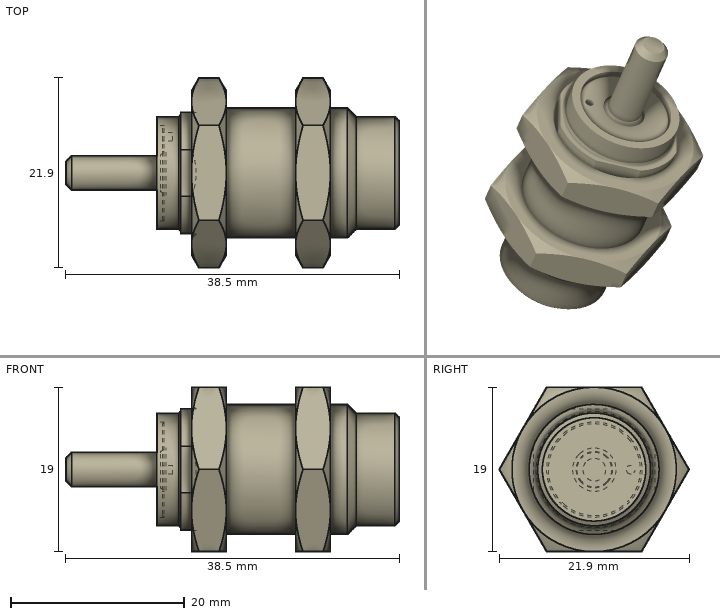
import cadquery as cq
import math

total_length = 38.5

rod_diameter = 4.0
rod_tip_chamfer = 0.7

collar_start = 10.5
collar_end = 13.05
collar_diameter = 13.0
plug_diameter = 11.0
plug_depth = 0.6
plug_chamfer = 0.2
vent_diameter = 1.0
vent_offset = 4.2
vent_depth = 1.15

guide_base_diameter = 5.0
guide_top_diameter = 4.2
guide_groove_depth = 0.4
guide_protrusion = 0.25

neck_diameter = 13.45

body_start = 13.25
body_end = 32.5
body_diameter = 15.0
flats_width = 14.0
rear_diameter = collar_diameter
rear_chamfer = 0.55

nut_starts = (14.5, 26.53)
nut_width = 4.0
nut_across_flats = 18.98
nut_corner_angle = 30.0


def turned(points):
    """Revolve a closed (x, radius) profile around the X axis."""
    return cq.Workplane("XY").polyline(points).close().revolve(360, (0, 0, 0), (1, 0, 0))


def cylinder(start, end, diameter):
    return cq.Workplane("YZ", origin=(start, 0, 0)).circle(diameter / 2).extrude(end - start)


def make_body():
    body_radius = body_diameter / 2
    rear_radius = rear_diameter / 2
    rear_start = body_end + body_radius - rear_radius
    return turned([
        (collar_start, 0),
        (collar_start, collar_diameter / 2),
        (collar_end, collar_diameter / 2),
        (body_start, neck_diameter / 2),
        (body_start, body_radius),
        (body_end, body_radius),
        (rear_start, rear_radius),
        (total_length - rear_chamfer, rear_radius),
        (total_length, rear_radius - rear_chamfer),
        (total_length, 0),
    ])


def make_nut(start):
    """Hexagon with corners on the Y axis, both faces chamfered by a cone."""
    flat_radius = nut_across_flats / 2
    corner_radius = flat_radius / math.cos(math.pi / 6)
    chamfer_depth = (corner_radius - flat_radius) * math.tan(math.radians(nut_corner_angle))
    end = start + nut_width
    hexagon = (
        cq.Workplane("YZ", origin=(start, 0, 0))
        .polygon(6, 2 * corner_radius)
        .extrude(nut_width)
    )
    envelope = turned([
        (start, 0),
        (start, flat_radius),
        (start + chamfer_depth, corner_radius),
        (end - chamfer_depth, corner_radius),
        (end, flat_radius),
        (end, 0),
    ])
    return hexagon.intersect(envelope)


def make_flats_cutter():
    """Material outside the four wrench flats, ending in the front nut's countersink."""
    front_nut_face = nut_starts[0]
    countersink_depth = (body_diameter - flats_width) / 2
    surround = turned([
        (body_start, 0),
        (body_start, body_diameter / 2),
        (front_nut_face, body_diameter / 2),
        (front_nut_face + countersink_depth, flats_width / 2),
        (front_nut_face + countersink_depth, 0),
    ])
    square = cq.Workplane("YZ").rect(flats_width, flats_width).extrude(total_length)
    return surround.cut(square)


def make_plug_recess():
    """Pocket around the chamfered plug, leaving a V groove at its rim."""
    plug_radius = plug_diameter / 2
    plug_face = collar_start + plug_depth
    return turned([
        (collar_start, 0),
        (collar_start, plug_radius),
        (plug_face + plug_chamfer, plug_radius),
        (plug_face, plug_radius - plug_chamfer),
        (plug_face, 0),
    ])


def make_guide_groove():
    """Round pocket in the plug that the rod guide stands in."""
    plug_face = collar_start + plug_depth
    return cylinder(plug_face, plug_face + guide_groove_depth, guide_base_diameter)


def make_guide():
    """Cone around the rod, standing slightly proud of the plug face."""
    plug_face = collar_start + plug_depth
    guide_front = plug_face - guide_protrusion
    guide_base = plug_face + guide_groove_depth
    return turned([
        (guide_front, 0),
        (guide_front, guide_top_diameter / 2),
        (guide_base, guide_base_diameter / 2),
        (guide_base, 0),
    ])


def make_vent_hole():
    plug_face = collar_start + plug_depth
    return cylinder(plug_face, plug_face + vent_depth, vent_diameter).translate((0, vent_offset, 0))


def make_rod():
    rod_end = collar_start + plug_depth + guide_groove_depth
    return cylinder(0, rod_end, rod_diameter).faces("<X").chamfer(rod_tip_chamfer)


result = make_body()
for nut_start in nut_starts:
    result = result.union(make_nut(nut_start))
result = result.cut(make_flats_cutter())
result = result.cut(make_plug_recess())
result = result.cut(make_guide_groove())
result = result.cut(make_vent_hole())
result = result.union(make_guide())
result = result.union(make_rod())